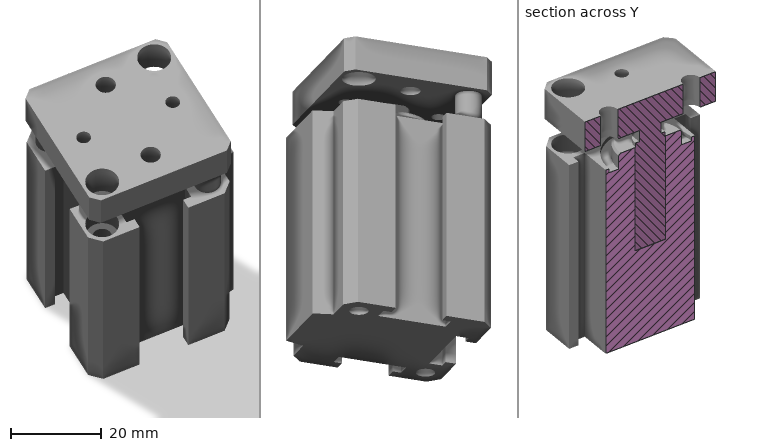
import cadquery as cq


OVERALL_HEIGHT = 64.0
OVERALL_DEPTH = 39.5

HOUSING_SIDE = 35.0
HOUSING_HEIGHT = 49.0
HOUSING_CHAMFER = 2.5
KEEL_BASE_WIDTH = 18.4
KEEL_TIP_WIDTH = 16.0

SLOT_OPENING = 12.0
SLOT_INNER_WIDTH = 16.0
SLOT_LIP = 2.5
SLOT_FLOOR_OFFSET = 12.0
SLOT_TURNS = (-90, 0, 90)

COVER_RECESS_DIAMETER = 22.0
COVER_RECESS_DEPTH = 1.0
COVER_RECESS_FLOOR = HOUSING_HEIGHT - COVER_RECESS_DEPTH
COVER_DIAMETER = 17.0
COVER_RISE = 3.0
COVER_TOP = HOUSING_HEIGHT + COVER_RISE
COVER_CHAMFER = 0.5

CORNER_OFFSET = 13.0
BOLT_CORNERS = [(-CORNER_OFFSET, CORNER_OFFSET), (CORNER_OFFSET, -CORNER_OFFSET)]
GUIDE_CORNERS = [(-CORNER_OFFSET, -CORNER_OFFSET), (CORNER_OFFSET, CORNER_OFFSET)]
BOLT_DIAMETER = 4.3
BOLT_HEAD_DIAMETER = 7.5
BOLT_HEAD_DEPTH = 4.5
GUIDE_DIAMETER = 6.0

ROD_DIAMETER = 8.0
ROD_ACROSS_FLATS = 6.0
ROD_FLAT_HEIGHT = 2.8
ROD_CHAMFER = 0.5
ROD_BOTTOM = HOUSING_HEIGHT / 2

PLATE_SIDE = HOUSING_SIDE
PLATE_THICKNESS = 8.0
PLATE_CHAMFER = 1.9
PLATE_BOTTOM = OVERALL_HEIGHT - PLATE_THICKNESS
PLATE_HOLE_OFFSET = 11.0
PLAIN_HOLE_DIAMETER = 4.5
TAPPED_HOLE_DIAMETER = 3.25


def chamfered_block(side, height, chamfer, bottom):
    """Square block on the cylinder axis with its four upright edges chamfered."""
    block = cq.Workplane("XY").workplane(offset=bottom).rect(side, side).extrude(height)
    return block.edges("|Z").chamfer(chamfer)


def cylinders(points, diameter, bottom, top):
    """Upright cylinders at the given points, from one height to another."""
    base = cq.Workplane("XY").workplane(offset=bottom)
    return base.pushPoints(points).circle(diameter / 2).extrude(top - bottom)


def keel():
    """Tapered rail along the whole +Y side of the housing."""
    base_y = HOUSING_SIDE / 2
    tip_y = OVERALL_DEPTH - base_y
    outline = [
        (-KEEL_BASE_WIDTH / 2, base_y),
        (KEEL_BASE_WIDTH / 2, base_y),
        (KEEL_TIP_WIDTH / 2, tip_y),
        (-KEEL_TIP_WIDTH / 2, tip_y),
    ]
    return cq.Workplane("XY").polyline(outline).close().extrude(HOUSING_HEIGHT)


def t_slot():
    """Cutter for the full-height T-slot in the -Y side."""
    face_y = -HOUSING_SIDE / 2
    lip_y = face_y + SLOT_LIP
    floor_y = -SLOT_FLOOR_OFFSET
    opening = SLOT_OPENING / 2
    inner = SLOT_INNER_WIDTH / 2
    outline = [
        (-opening, face_y),
        (opening, face_y),
        (opening, lip_y),
        (inner, lip_y),
        (inner, floor_y),
        (-inner, floor_y),
        (-inner, lip_y),
        (-opening, lip_y),
    ]
    return cq.Workplane("XY").polyline(outline).close().extrude(HOUSING_HEIGHT)


def rod_cover():
    """Round cover that rises from the recess floor and carries the piston rod."""
    cover = cylinders([(0, 0)], COVER_DIAMETER, COVER_RECESS_FLOOR, COVER_TOP)
    return cover.faces(">Z").edges().chamfer(COVER_CHAMFER)


def make_housing():
    body = chamfered_block(HOUSING_SIDE, HOUSING_HEIGHT, HOUSING_CHAMFER, 0).union(keel())
    slot = t_slot()
    for turn in SLOT_TURNS:
        body = body.cut(slot.rotate((0, 0, 0), (0, 0, 1), turn))

    body = body.cut(cylinders([(0, 0)], COVER_RECESS_DIAMETER, COVER_RECESS_FLOOR, HOUSING_HEIGHT))
    body = body.union(rod_cover())

    head_seat = HOUSING_HEIGHT - BOLT_HEAD_DEPTH
    body = body.cut(cylinders(BOLT_CORNERS, BOLT_DIAMETER, 0, HOUSING_HEIGHT))
    body = body.cut(cylinders(BOLT_CORNERS, BOLT_HEAD_DIAMETER, head_seat, HOUSING_HEIGHT))

    body = body.cut(cylinders(GUIDE_CORNERS, GUIDE_DIAMETER, 0, HOUSING_HEIGHT))
    return body.cut(cylinders([(0, 0)], ROD_DIAMETER, ROD_BOTTOM, COVER_TOP))


def piston_rod():
    """Rod with a chamfered top and two wrench flats facing -X and +X."""
    rod = cylinders([(0, 0)], ROD_DIAMETER, ROD_BOTTOM, PLATE_BOTTOM)
    rod = rod.faces(">Z").edges().chamfer(ROD_CHAMFER)
    flats_base = cq.Workplane("XY").workplane(offset=PLATE_BOTTOM - ROD_FLAT_HEIGHT)
    wrench_gap = (
        flats_base.rect(2 * ROD_DIAMETER, 2 * ROD_DIAMETER)
        .rect(ROD_ACROSS_FLATS, 2 * ROD_DIAMETER)
        .extrude(ROD_FLAT_HEIGHT)
    )
    return rod.cut(wrench_gap)


def end_plate():
    """Square plate with bolt access holes, plain holes along X and tapped holes along Y."""
    plate = chamfered_block(PLATE_SIDE, PLATE_THICKNESS, PLATE_CHAMFER, PLATE_BOTTOM)
    plain_holes = [(-PLATE_HOLE_OFFSET, 0), (PLATE_HOLE_OFFSET, 0)]
    tapped_holes = [(0, -PLATE_HOLE_OFFSET), (0, PLATE_HOLE_OFFSET)]
    plate = plate.cut(cylinders(BOLT_CORNERS, BOLT_HEAD_DIAMETER, PLATE_BOTTOM, OVERALL_HEIGHT))
    plate = plate.cut(cylinders(plain_holes, PLAIN_HOLE_DIAMETER, PLATE_BOTTOM, OVERALL_HEIGHT))
    return plate.cut(cylinders(tapped_holes, TAPPED_HOLE_DIAMETER, PLATE_BOTTOM, OVERALL_HEIGHT))


def make_carriage():
    guides = cylinders(GUIDE_CORNERS, GUIDE_DIAMETER, 0, PLATE_BOTTOM)
    return end_plate().union(guides).union(piston_rod())


housing = make_housing()
carriage = make_carriage()

result = cq.Compound.makeCompound([housing.val(), carriage.val()])